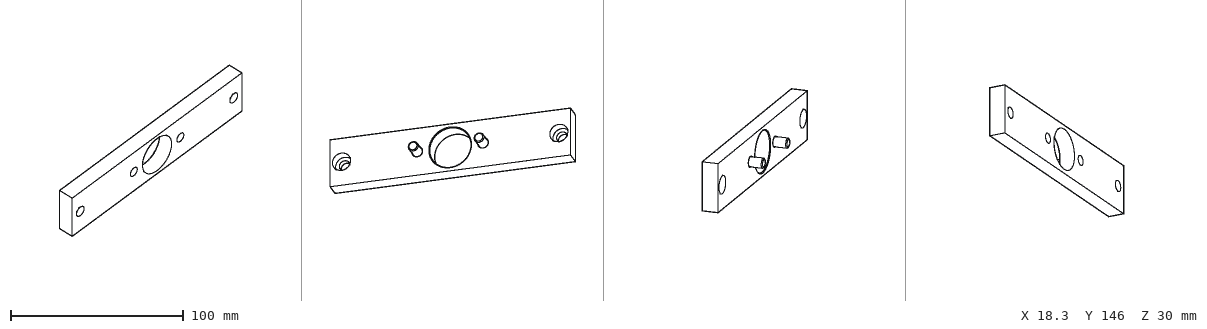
import cadquery as cq

PLATE_LENGTH = 146.0
PLATE_HEIGHT = 30.0
PLATE_THICKNESS = 10.0

BORE_DIAMETER = 25.0
BORE_CHAMFER = 0.5

SCREW_SPACING = 132.0
SCREW_HOLE_DIAMETER = 6.5
COUNTERBORE_DIAMETER = 11.0
COUNTERBORE_DEPTH = 6.1

PIN_SPACING = 40.0
PIN_DIAMETER = 6.0
PIN_PROJECTION = 8.3
PIN_CHAMFER = 0.6
PIN_HOLE_CHAMFER = 0.3

SIDES = (-1, 1)


def cylinder_along_x(diameter, start_x, length, y=0.0):
    """Cylinder running toward +X from start_x, centred on Z = 0."""
    return cq.Workplane("YZ", origin=(start_x, y, 0)).circle(diameter / 2).extrude(length)


def counterbored_hole(y):
    """Cutter for a screw hole with its counterbore at the front face."""
    hole = cylinder_along_x(SCREW_HOLE_DIAMETER, 0, PLATE_THICKNESS, y)
    return hole.union(cylinder_along_x(COUNTERBORE_DIAMETER, 0, COUNTERBORE_DEPTH, y))


def chamfer_smallest_holes(plate, chamfer):
    """Chamfer the front edges of the smallest holes cut so far."""
    hole_edges = cq.selectors.RadiusNthSelector(0)
    return plate.faces("<X").edges(hole_edges).chamfer(chamfer)


def make_plate():
    plate = cq.Workplane("XY").box(
        PLATE_THICKNESS, PLATE_LENGTH, PLATE_HEIGHT, centered=(False, True, True)
    )
    plate = plate.cut(cylinder_along_x(BORE_DIAMETER, 0, PLATE_THICKNESS))
    plate = chamfer_smallest_holes(plate, BORE_CHAMFER)
    for side in SIDES:
        pin_y = side * PIN_SPACING / 2
        plate = plate.cut(cylinder_along_x(PIN_DIAMETER, 0, PLATE_THICKNESS, pin_y))
    plate = chamfer_smallest_holes(plate, PIN_HOLE_CHAMFER)
    for side in SIDES:
        plate = plate.cut(counterbored_hole(side * SCREW_SPACING / 2))
    return plate


def make_pin(y):
    """Pin flush with the back of the plate, with a chamfered front tip."""
    pin = cylinder_along_x(PIN_DIAMETER, -PIN_PROJECTION, PIN_PROJECTION + PLATE_THICKNESS, y)
    return pin.faces("<X").chamfer(PIN_CHAMFER)


plate = make_plate()
pins = [make_pin(side * PIN_SPACING / 2) for side in SIDES]

result = cq.Compound.makeCompound([plate.solids().val(), *[pin.val() for pin in pins]])